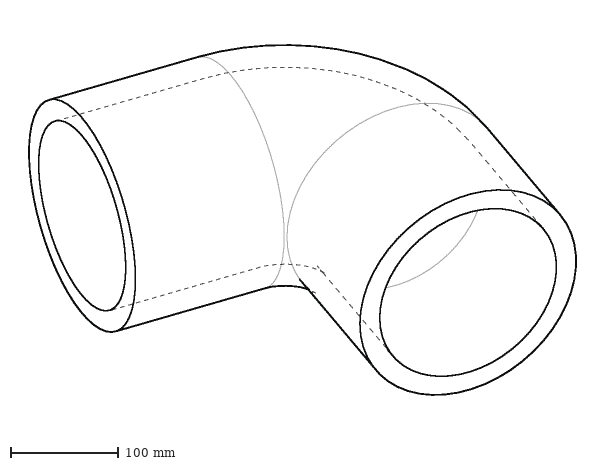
import cadquery as cq
import math

overall_length = 381.5
outer_diameter = 225.0
bore_diameter = 184.0
bend_radius = 114.5

leg_end = overall_length - outer_diameter / 2
bend_middle = bend_radius * (1 - math.cos(math.radians(45)))

centreline = (
    cq.Workplane("XY")
    .moveTo(0, -leg_end)
    .lineTo(0, -bend_radius)
    .threePointArc((bend_middle, -bend_middle), (bend_radius, 0))
    .lineTo(leg_end, 0)
)

result = (
    cq.Workplane("XZ", origin=(0, -leg_end, 0))
    .circle(outer_diameter / 2)
    .circle(bore_diameter / 2)
    .sweep(centreline)
)